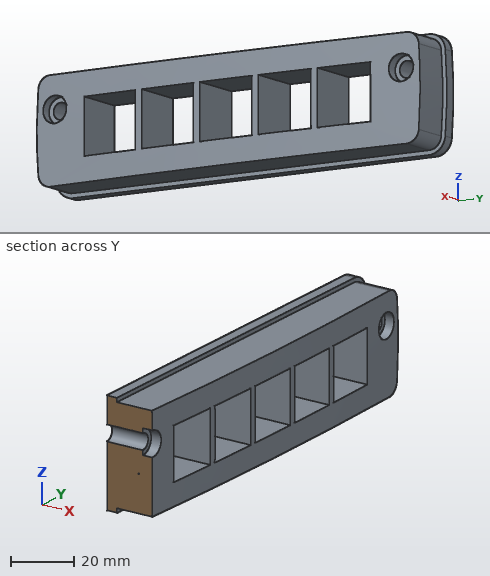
import cadquery as cq
import math

flange_length = 147.0
flange_height = 39.0
flange_thickness = 4.0
flange_corner_radius = 6.0
end_arc_radius = 180.0

body_inset = 1.5
crown_depth = 18.93
body_end_depth = 17.3

window_count = 5
window_pitch = 22.0
window_width = 19.5
window_height = 19.2

hole_spacing = 130.0
hole_height = 6.7
hole_diameter = 5.6
counterbore_diameter = 9.0
counterbore_depth = 5.0

body_half_length = flange_length / 2 - body_inset
dome_rise = crown_depth - body_end_depth
dome_radius = (body_half_length**2 + dome_rise**2) / (2 * dome_rise)


def bowed_plate(inset, depth):
    """Plate from X = 0 with straight long sides, bowed ends and rounded corners."""
    half_length = flange_length / 2 - inset
    half_height = flange_height / 2 - inset
    arc_radius = end_arc_radius - inset
    bow = arc_radius - math.sqrt(arc_radius**2 - half_height**2)
    corner_y = half_length - bow
    return (
        cq.Workplane("YZ")
        .moveTo(-corner_y, -half_height)
        .lineTo(corner_y, -half_height)
        .threePointArc((half_length, 0), (corner_y, half_height))
        .lineTo(-corner_y, half_height)
        .threePointArc((-half_length, 0), (-corner_y, -half_height))
        .close()
        .extrude(depth)
        .edges("|X")
        .fillet(flange_corner_radius - inset)
    )


def domed_body():
    """Body block whose back is trimmed to a shallow sphere."""
    dome = cq.Workplane("XY").sphere(dome_radius).translate((crown_depth - dome_radius, 0, 0))
    return bowed_plate(body_inset, crown_depth).intersect(dome)


def windows():
    """Row of rectangular prisms through the full depth."""
    return (
        cq.Workplane("YZ")
        .rarray(window_pitch, 1, window_count, 1)
        .rect(window_width, window_height)
        .extrude(crown_depth)
    )


def screw_holes():
    """Through holes with counterbores entering from the back."""
    centers = [(side * hole_spacing / 2, hole_height) for side in (-1, 1)]
    shanks = cq.Workplane("YZ").pushPoints(centers).circle(hole_diameter / 2).extrude(crown_depth)
    counterbores = (
        cq.Workplane("YZ", origin=(crown_depth - counterbore_depth, 0, 0))
        .pushPoints(centers)
        .circle(counterbore_diameter / 2)
        .extrude(counterbore_depth)
    )
    return shanks.union(counterbores)


flange = bowed_plate(0, flange_thickness)
result = flange.union(domed_body()).cut(windows()).cut(screw_holes())